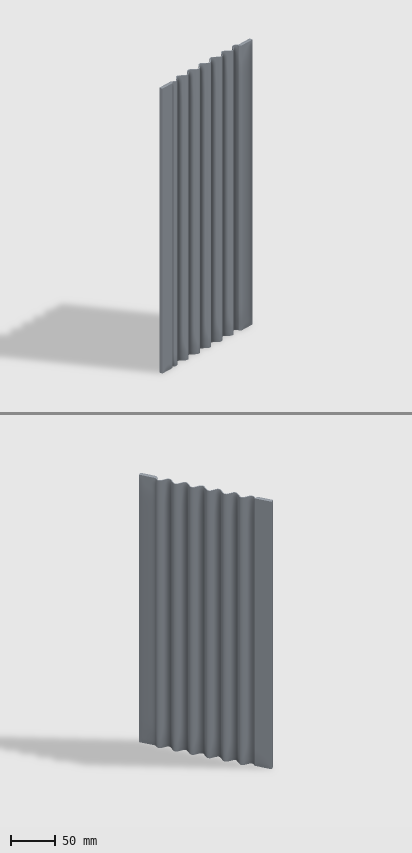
import cadquery as cq
import math

height = 360.0
width = 160.0
depth = 8.0

wave_count = 6
pitch = width / (wave_count + 2)
half_wave = pitch / 2
wave_start = wave_count * pitch / 2
sheet_thickness = 1.0
slope_angle = math.radians(45)

strip_thickness = 4.5
left_strip_width = 21.5
right_strip_width = 20.0
strip_chamfer = 2.0
sheet_overlap = 0.5

swing = (depth - sheet_thickness) / 2
sharp_swing = half_wave / 2 * math.tan(slope_angle)
bend_radius = (sharp_swing - swing) / (1 / math.cos(slope_angle) - 1)


def sheet_face_path(offset):
    """Points of one sheet face: its start, three points per bend, its end.

    The offset is measured from the mid surface, positive towards +X.
    """
    shift_x = offset * math.cos(slope_angle)
    shift_y = offset * math.sin(slope_angle)
    overlap_y = sheet_overlap / math.tan(slope_angle)
    start = (sheet_overlap + shift_x, wave_start + overlap_y - shift_y)
    end = (shift_x, -wave_start - shift_y)
    bends = []
    for index in range(2 * wave_count):
        side = 1 if index % 2 else -1
        crest_y = wave_start - (index + 0.5) * half_wave
        centre_x = side * (swing - bend_radius)
        radius = bend_radius + side * offset
        shoulder_x = centre_x + side * radius * math.cos(slope_angle)
        reach = radius * math.sin(slope_angle)
        bends.append((
            (shoulder_x, crest_y + reach),
            (centre_x + side * radius, crest_y),
            (shoulder_x, crest_y - reach),
        ))
    return start, bends, end


def corrugated_sheet():
    """Extrude the area between the two parallel wavy faces."""
    start, bends, end = sheet_face_path(-sheet_thickness / 2)
    outline = cq.Workplane("XY").moveTo(*start)
    for entry, crest, leave in bends:
        outline = outline.lineTo(*entry).threePointArc(crest, leave)
    outline = outline.lineTo(*end)

    start, bends, end = sheet_face_path(sheet_thickness / 2)
    outline = outline.lineTo(*end)
    for entry, crest, leave in reversed(bends):
        outline = outline.lineTo(*leave).threePointArc(crest, entry)
    outline = outline.lineTo(*start)
    return outline.close().extrude(height)


def side_strip(side, strip_width):
    """Flat strip along the +Y (1) or -Y (-1) edge, its inner +X corner chamfered."""
    front_x = depth / 2
    back_x = front_x - strip_thickness
    outer_y = side * width / 2
    inner_y = outer_y - side * strip_width
    outline = [
        (back_x, outer_y),
        (front_x, outer_y),
        (front_x, inner_y + side * strip_chamfer),
        (front_x - strip_chamfer, inner_y),
        (back_x, inner_y),
    ]
    return cq.Workplane("XY").polyline(outline).close().extrude(height)


result = corrugated_sheet().union(side_strip(1, left_strip_width))
result = result.union(side_strip(-1, right_strip_width))